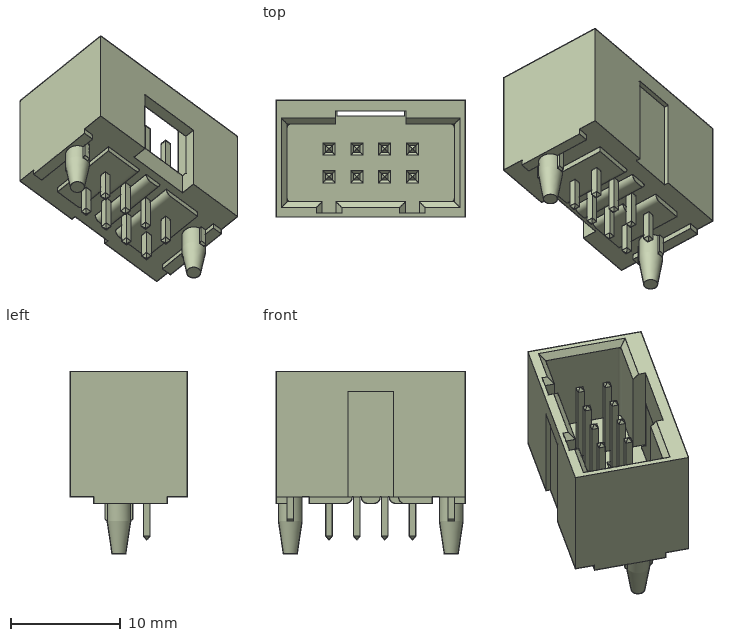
import cadquery as cq


LENGTH = 17.27
WIDTH = 10.67
HEIGHT = 11.45
FRONT = -WIDTH / 2
BACK = WIDTH / 2

FLOOR = 2.45
CAVITY_HALF_LENGTH = 7.62
CAVITY_FRONT = FRONT + 1.42
CAVITY_BACK = BACK - 2.18
CAVITY_CORNER_RADIUS = 0.3
LEAD_IN = 0.54

KEY_OFFSET = 3.8
KEY_WIDTH = 1.26
KEY_FRONT = FRONT + 0.4

SLOT_WIDTH = 6.42
SLOT_BACK = BACK - 1.0
WINDOW_WIDTH = 6.11
WINDOW_FRONT = BACK - 1.43
WINDOW_TOP = HEIGHT - 3.76

RECESS_WIDTH = 4.15
RECESS_DEPTH = 0.41
RECESS_TOP = HEIGHT - 1.81

STANDOFF_HEIGHT = 0.6
STANDOFF_FRONT = FRONT + 1.81
STANDOFF_BACK = BACK - 2.15
BAR_OUTER = 5.61
BAR_INNER = 1.7
SHORT_BAR_INNER = 2.54
MIDDLE_BAR_WIDTH = 1.73
BAR_ROUNDING = 0.59

PIN_PITCH = 2.54
PIN_COLUMNS = 4
PIN_SIZE = 0.62
PIN_TIP = 0.35
PIN_BOTTOM = -3.92
PIN_TOP = HEIGHT - 0.86
BACK_ROW_Y = 0.9
FRONT_ROW_Y = BACK_ROW_Y - PIN_PITCH
PIN_PIT_SIZE = 1.1

PEG_OFFSET = 7.34
PEG_RADIUS = 1.09
PEG_TIP_RADIUS = 0.64
PEG_SHOULDER = -2.2
PEG_BOTTOM = -5.2
FIN_WIDTH = 0.55
FIN_REACH = 1.28
FIN_CHAMFER = FIN_REACH - PEG_RADIUS


def block(x_range, y_range, z_range):
    """Axis-aligned box given by its limits along each axis."""
    sizes = [high - low for low, high in (x_range, y_range, z_range)]
    corner = (x_range[0], y_range[0], z_range[0])
    return cq.Workplane("XY").box(*sizes, centered=False).translate(corner)


def centred_block(width, y_range, z_range, x=0.0):
    """Box centred on the given X."""
    return block((x - width / 2, x + width / 2), y_range, z_range)


def make_cavity():
    """Round-cornered well topped by a sharp-cornered sloped mouth."""
    length = 2 * CAVITY_HALF_LENGTH
    width = CAVITY_BACK - CAVITY_FRONT
    centre_y = (CAVITY_FRONT + CAVITY_BACK) / 2
    well = centred_block(length, (CAVITY_FRONT, CAVITY_BACK), (FLOOR, HEIGHT))
    well = well.edges("|Z").fillet(CAVITY_CORNER_RADIUS)
    mouth = (
        cq.Workplane("XY", origin=(0, centre_y, HEIGHT - LEAD_IN))
        .rect(length, width)
        .workplane(offset=LEAD_IN)
        .rect(length + 2 * LEAD_IN, width + 2 * LEAD_IN)
        .loft(combine=True)
    )
    return well.union(mouth)


def make_key_slot(x):
    """Slot opening into the cavity, its two sides flared at the mouth."""
    half = KEY_WIDTH / 2
    return (
        cq.Workplane("XZ", origin=(x, CAVITY_FRONT, 0))
        .moveTo(-half, FLOOR)
        .lineTo(half, FLOOR)
        .lineTo(half, HEIGHT - LEAD_IN)
        .lineTo(half + LEAD_IN, HEIGHT)
        .lineTo(-half - LEAD_IN, HEIGHT)
        .lineTo(-half, HEIGHT - LEAD_IN)
        .close()
        .extrude(CAVITY_FRONT - KEY_FRONT)
    )


def make_housing():
    housing = centred_block(LENGTH, (FRONT, BACK), (0, HEIGHT)).cut(make_cavity())
    for side in (-1, 1):
        housing = housing.cut(make_key_slot(side * KEY_OFFSET))
    slot = centred_block(SLOT_WIDTH, (0, SLOT_BACK), (FLOOR, HEIGHT))
    window = centred_block(WINDOW_WIDTH, (WINDOW_FRONT, BACK), (0, WINDOW_TOP))
    recess = centred_block(RECESS_WIDTH, (FRONT, FRONT + RECESS_DEPTH), (0, RECESS_TOP))
    return housing.cut(slot).cut(window).cut(recess)


def make_standoffs():
    """End rails plus bars whose edges beside the middle pins are rounded."""
    full_y = (STANDOFF_FRONT, STANDOFF_BACK)
    between_rows = (FRONT_ROW_Y + BACK_ROW_Y) / 2
    z_range = (-STANDOFF_HEIGHT, 0)

    left_rail = block((-LENGTH / 2, -CAVITY_HALF_LENGTH), full_y, z_range)
    right_rail = block((CAVITY_HALF_LENGTH, LENGTH / 2), full_y, z_range)
    left_bar = block((-BAR_OUTER, -BAR_INNER), full_y, z_range)
    left_bar = left_bar.edges(">X and <Z").fillet(BAR_ROUNDING)
    middle_bar = centred_block(MIDDLE_BAR_WIDTH, full_y, z_range)
    middle_bar = middle_bar.edges("|Y and <Z").fillet(BAR_ROUNDING)
    standoffs = left_rail.union(right_rail).union(left_bar).union(middle_bar)

    right_sections = (
        (SHORT_BAR_INNER, (STANDOFF_FRONT, between_rows)),
        (BAR_INNER, (between_rows, STANDOFF_BACK)),
    )
    for inner, y_range in right_sections:
        section = block((inner, BAR_OUTER), y_range, z_range)
        standoffs = standoffs.union(section.edges("<X and <Z").fillet(BAR_ROUNDING))
    return standoffs


def pin_silhouette(plane):
    """Pin outline pointed at both ends, extruded by the pin size."""
    half = PIN_SIZE / 2
    return (
        cq.Workplane(plane)
        .moveTo(0, PIN_BOTTOM)
        .lineTo(half, PIN_BOTTOM + PIN_TIP)
        .lineTo(half, PIN_TOP - PIN_TIP)
        .lineTo(0, PIN_TOP)
        .lineTo(-half, PIN_TOP - PIN_TIP)
        .lineTo(-half, PIN_BOTTOM + PIN_TIP)
        .close()
        .extrude(half, both=True)
    )


def make_pin(x, y):
    """Square pin with a four-sided point at both ends."""
    pin = pin_silhouette("XZ").intersect(pin_silhouette("YZ"))
    return pin.translate((x, y, 0))


def make_pin_pit(x, y):
    """Bevelled pit in the cavity floor, narrowing down to the pin."""
    depth = (PIN_PIT_SIZE - PIN_SIZE) / 2
    return (
        cq.Workplane("XY", origin=(x, y, FLOOR - depth))
        .rect(PIN_SIZE, PIN_SIZE)
        .workplane(offset=depth)
        .rect(PIN_PIT_SIZE, PIN_PIT_SIZE)
        .loft(combine=True)
    )


def make_peg(x):
    """Cylinder with a tapered end and a fin across it along Y."""
    body = (
        cq.Workplane("XZ")
        .lineTo(PEG_RADIUS, 0)
        .lineTo(PEG_RADIUS, PEG_SHOULDER)
        .lineTo(PEG_TIP_RADIUS, PEG_BOTTOM)
        .lineTo(0, PEG_BOTTOM)
        .close()
        .revolve(360, (0, 0, 0), (0, 1, 0))
    )
    fin = centred_block(FIN_WIDTH, (-FIN_REACH, FIN_REACH), (PEG_SHOULDER, 0))
    fin = fin.edges("|X and <Z").chamfer(FIN_CHAMFER)
    return body.union(fin).translate((x, BACK_ROW_Y, 0))


result = make_housing().union(make_standoffs())
for side in (-1, 1):
    result = result.union(make_peg(side * PEG_OFFSET))
for column in range(PIN_COLUMNS):
    pin_x = (column - (PIN_COLUMNS - 1) / 2) * PIN_PITCH
    for pin_y in (FRONT_ROW_Y, BACK_ROW_Y):
        result = result.cut(make_pin_pit(pin_x, pin_y))
        result = result.union(make_pin(pin_x, pin_y))